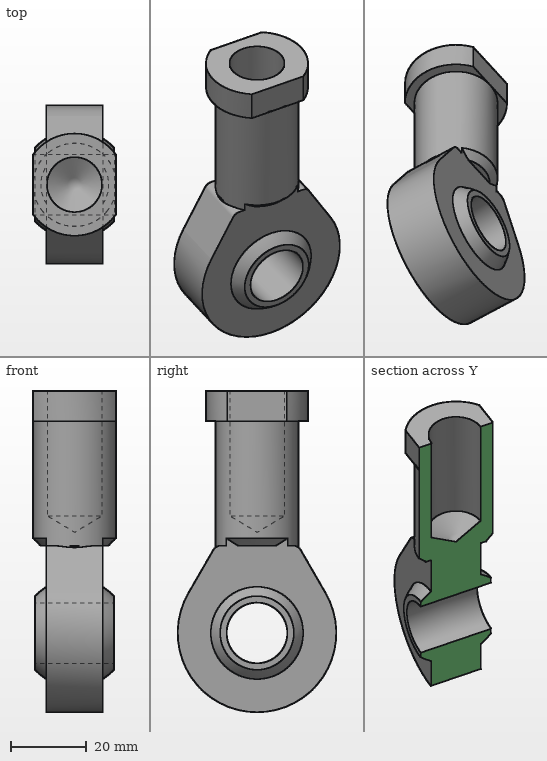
import cadquery as cq
import math

total_height = 85.0
eye_diameter = 42.0
eye_radius = eye_diameter / 2
eye_thickness = 15.0
top_z = total_height - eye_radius

flank_angle = math.radians(30)
shoulder_z = 23.0
shoulder_round = 2.2

ball_width = 21.0
ball_diameter = 28.65
bore_diameter = 16.0

shank_diameter = 22.0
shank_radius = shank_diameter / 2
shank_chamfer = 2.0
collar_diameter = 27.0
collar_height = 8.0

hole_diameter = 14.5
hole_depth = 33.0
hole_tip_angle = math.radians(118)


def make_plate():
    """Round plate with straight flanks tangent to its rim and sharp shoulders."""
    tangent_y = eye_radius * math.cos(flank_angle)
    tangent_z = eye_radius * math.sin(flank_angle)
    shoulder_y = tangent_y - (shoulder_z - tangent_z) * math.tan(flank_angle)
    return (
        cq.Workplane("YZ")
        .moveTo(-shoulder_y, shoulder_z)
        .lineTo(-tangent_y, tangent_z)
        .threePointArc((0, -eye_radius), (tangent_y, tangent_z))
        .lineTo(shoulder_y, shoulder_z)
        .close()
        .extrude(eye_thickness / 2, both=True)
    )


def make_eye():
    """Plate with its shoulders rounded only outside the footprint of the shank."""
    plate = make_plate()
    rounded = plate.edges("|X and >Z").fillet(shoulder_round)
    footprint = cq.Workplane("XY").circle(shank_radius).extrude(top_z)
    return rounded.union(plate.intersect(footprint))


def make_ball():
    """Sphere about the bore axis, trimmed to flat ends on both sides of the eye."""
    half_width = ball_width / 2
    ball_radius = ball_diameter / 2
    end_radius = math.sqrt(ball_radius**2 - half_width**2)
    return (
        cq.Workplane("XY")
        .moveTo(-half_width, 0)
        .lineTo(-half_width, end_radius)
        .threePointArc((0, ball_radius), (half_width, end_radius))
        .lineTo(half_width, 0)
        .close()
        .revolve(360, (0, 0), (1, 0))
    )


def make_shank():
    """Cylinder whose foot is chamfered only where it overhangs the eye plate."""
    length = top_z - collar_height - shoulder_z
    cylinder = cq.Workplane("XY").workplane(offset=shoulder_z).circle(shank_radius).extrude(length)
    core = cylinder.intersect(cq.Workplane("XY").box(eye_thickness, collar_diameter, 2 * top_z))
    return cylinder.faces("<Z").chamfer(shank_chamfer).union(core)


def make_collar():
    """Disc at the shank top with flats level with the shank sides."""
    disc = cq.Workplane("XY").workplane(offset=top_z).circle(collar_diameter / 2).extrude(-collar_height)
    return disc.intersect(cq.Workplane("XY").box(shank_diameter, eye_diameter, 2 * top_z))


def make_blind_hole():
    """Drilled hole with a conical bottom."""
    radius = hole_diameter / 2
    floor_z = top_z - hole_depth
    tip_z = floor_z - radius / math.tan(hole_tip_angle / 2)
    return (
        cq.Workplane("XZ")
        .polyline([(0, top_z), (radius, top_z), (radius, floor_z), (0, tip_z)])
        .close()
        .revolve(360, (0, 0), (0, 1))
    )


stem = make_shank().union(make_collar()).cut(make_blind_hole())

bore = cq.Workplane("YZ").circle(bore_diameter / 2).extrude(ball_width, both=True)
eye = make_eye().union(make_ball()).cut(bore)

result = eye.union(stem)